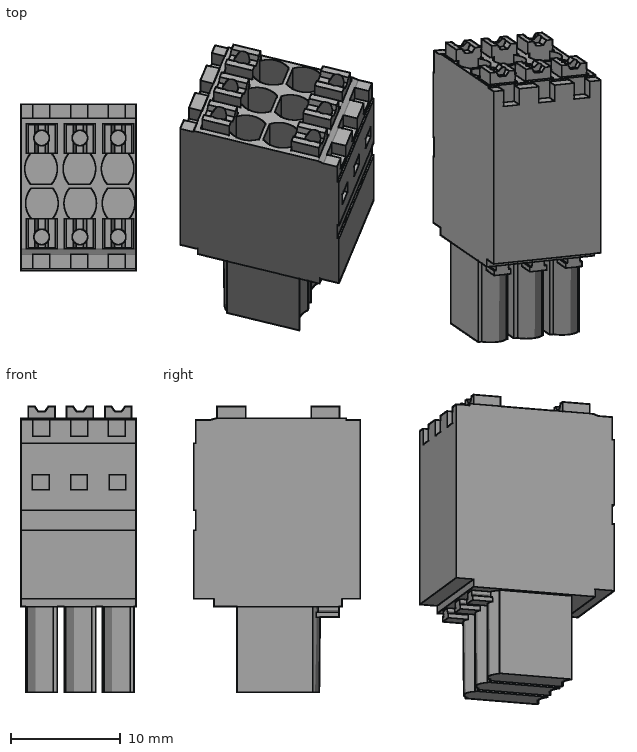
import cadquery as cq


WIDTH = 10.5
DEPTH = 15.2
HEIGHT = 26.05
FRONT_Y = -DEPTH / 2
REAR_Y = DEPTH / 2
POLE_PITCH = 3.5
POLE_STEPS = (-1, 0, 1)
MIDDLE_POLE_X = 0.13

BUTTON_RISE = 1.07
TOP_Z = HEIGHT - BUTTON_RISE
SHOULDER_Z = TOP_Z - 0.15
STEP_Z = 8.52
BOTTOM_Z = 7.82
REAR_SHOULDER = 1.28
FRONT_SHOULDER = 1.5
BEVEL_RUN = 0.52
FRONT_RELIEF = 0.18
UPPER_RELIEF_Z = 22.72
BAND_TOP_Z = 16.6
BAND_BOTTOM_Z = 14.8
REAR_STEP = 1.67
FRONT_STEP = 1.85

NOTCH_WIDTH = 1.54
NOTCH_PITCH = 3.45
NOTCH_FLOOR_Z = 23.31

WINDOW_WIDTH = 1.5
WINDOW_TOP_Z = 19.82
WINDOW_HEIGHT = 1.35
WINDOW_DEPTH = 0.9
FACE_FEATURES_X = 0.05

ROW_MID_Y = 0.13
WELL_FLOOR_Z = 17.2
BUTTON_WIDTH = 2.45
BUTTON_INNER = 2.97
REAR_BUTTON_OUTER = 5.57
REAR_POCKET_OUTER = 5.65
FRONT_BUTTON_OUTER = 5.6
FRONT_POCKET_OUTER = ROW_MID_Y - (FRONT_Y + FRONT_SHOULDER + BEVEL_RUN)
POCKET_SIDE_GAP = 0.18
WIRE_HOLE_INNER = 0.18
WIRE_HOLE_WIDTH = 2.97
WIRE_HOLE_FLAT = 1.93
REAR_WIRE_SHIFT = -0.05
FRONT_WIRE_SHIFT = 0.03
REAR_ROW = 1
FRONT_ROW = -1

GROOVE_DEPTH = 0.45
GROOVE_TOP_WIDTH = 1.25
GROOVE_FLOOR_WIDTH = 0.63
BUTTON_HOLE_DIAMETER = 1.4
BUTTON_HOLE_DEPTH = 2.08
BUTTON_HOLE_Y = 4.5

LEG_WIDTH = 2.9
LEG_FRONT_Y = FRONT_Y + 3.93
LEG_REAR_Y = REAR_Y - 4.32
REAR_BULGE_BOTTOM = 0.6
REAR_BULGE_TOP = 0.68
LEG_ARC_WIDTH = 2.37
LEG_ARC_LEFT_MARGIN = 0.15
SCALLOP_DEPTH = 0.45

TAB_REAR_Y = REAR_Y - 1.93
TAB_NECK_WIDTH = 1.2
TAB_FLARE_WIDTH = 1.3
TAB_HEAD_WIDTH = 1.62
TAB_NECK_DROP = 0.3
TAB_FLARE_DROP = 0.52
TAB_DROP = 0.96


def box(x_centre, width, y_start, y_end, z_bottom, z_top):
    """A block centred on x_centre that spans the given Y and Z limits."""
    block = cq.Workplane("XY").box(width, y_end - y_start, z_top - z_bottom, centered=(True, False, False))
    return block.translate((x_centre, y_start, z_bottom))


def row_y(row, distance):
    """Y of a point at the given distance from the mid line, on the side of the given row."""
    return ROW_MID_Y + row * distance


def make_housing_block():
    relief_y = FRONT_Y + FRONT_RELIEF
    bevel_y = FRONT_Y + FRONT_SHOULDER
    profile = [
        (REAR_Y, STEP_Z),
        (REAR_Y, SHOULDER_Z),
        (REAR_Y - REAR_SHOULDER, SHOULDER_Z),
        (REAR_Y - REAR_SHOULDER, TOP_Z),
        (bevel_y + BEVEL_RUN, TOP_Z),
        (bevel_y, SHOULDER_Z),
        (relief_y, SHOULDER_Z),
        (relief_y, UPPER_RELIEF_Z),
        (FRONT_Y, UPPER_RELIEF_Z),
        (FRONT_Y, BAND_TOP_Z),
        (relief_y, BAND_TOP_Z),
        (relief_y, BAND_BOTTOM_Z),
        (FRONT_Y, BAND_BOTTOM_Z),
        (FRONT_Y, STEP_Z),
        (FRONT_Y + FRONT_STEP, STEP_Z),
        (FRONT_Y + FRONT_STEP, BOTTOM_Z),
        (REAR_Y - REAR_STEP, BOTTOM_Z),
        (REAR_Y - REAR_STEP, STEP_Z),
    ]
    return cq.Workplane("YZ").polyline(profile).close().extrude(WIDTH / 2, both=True)


def make_shoulder_notches(step):
    x = FACE_FEATURES_X + step * NOTCH_PITCH
    front = box(x, NOTCH_WIDTH, FRONT_Y, FRONT_Y + FRONT_SHOULDER, NOTCH_FLOOR_Z, TOP_Z)
    rear = box(x, NOTCH_WIDTH, REAR_Y - REAR_SHOULDER, REAR_Y, NOTCH_FLOOR_Z, TOP_Z)
    return front.union(rear)


def make_window(step):
    x = FACE_FEATURES_X + step * POLE_PITCH
    window_bottom_z = WINDOW_TOP_Z - WINDOW_HEIGHT
    return box(x, WINDOW_WIDTH, FRONT_Y, FRONT_Y + WINDOW_DEPTH, window_bottom_z, WINDOW_TOP_Z)


def make_pocket(x, row, outer):
    width = BUTTON_WIDTH + 2 * POCKET_SIDE_GAP
    y_start, y_end = sorted((row_y(row, BUTTON_INNER), row_y(row, outer)))
    return box(x, width, y_start, y_end, WELL_FLOOR_Z, TOP_Z)


def make_wire_hole(x, row):
    """A hole with two flat ends and two bowed sides, next to the inner face of a button."""
    inner_y = row_y(row, WIRE_HOLE_INNER)
    outer_y = row_y(row, BUTTON_INNER)
    middle_y = (inner_y + outer_y) / 2
    half_flat = WIRE_HOLE_FLAT / 2
    half_width = WIRE_HOLE_WIDTH / 2
    return (
        cq.Workplane("XY", origin=(x, 0, WELL_FLOOR_Z))
        .moveTo(-half_flat, inner_y)
        .lineTo(half_flat, inner_y)
        .threePointArc((half_width, middle_y), (half_flat, outer_y))
        .lineTo(-half_flat, outer_y)
        .threePointArc((-half_width, middle_y), (-half_flat, inner_y))
        .close()
        .extrude(TOP_Z - WELL_FLOOR_Z)
    )


def leg_outline(sketch, rear_bulge):
    """Leg cross-section: flat sides, a concave front scallop and a matching convex rear."""
    left = -LEG_WIDTH / 2
    right = LEG_WIDTH / 2
    arc_left = left + LEG_ARC_LEFT_MARGIN
    arc_right = arc_left + LEG_ARC_WIDTH
    arc_middle = (arc_left + arc_right) / 2
    return (
        sketch.moveTo(left, LEG_FRONT_Y)
        .lineTo(arc_left, LEG_FRONT_Y)
        .threePointArc((arc_middle, LEG_FRONT_Y + SCALLOP_DEPTH), (arc_right, LEG_FRONT_Y))
        .lineTo(right, LEG_FRONT_Y)
        .lineTo(right, LEG_REAR_Y)
        .lineTo(arc_right, LEG_REAR_Y)
        .threePointArc((arc_middle, LEG_REAR_Y + rear_bulge), (arc_left, LEG_REAR_Y))
        .lineTo(left, LEG_REAR_Y)
        .close()
    )


def make_leg(x):
    """A leg whose rear bulge tapers slightly towards its lower end."""
    lower = leg_outline(cq.Workplane("XY", origin=(x, 0, 0)), REAR_BULGE_BOTTOM)
    both = leg_outline(lower.workplane(offset=BOTTOM_Z), REAR_BULGE_TOP)
    return both.loft(ruled=True)


def make_tab(x):
    """A tab under the housing: a neck that flares slightly, then steps out to a wider head."""
    half_neck = TAB_NECK_WIDTH / 2
    half_flare = TAB_FLARE_WIDTH / 2
    half_head = TAB_HEAD_WIDTH / 2
    right_side = [
        (half_neck, 0),
        (half_neck, -TAB_NECK_DROP),
        (half_flare, -TAB_FLARE_DROP),
        (half_head, -TAB_FLARE_DROP),
        (half_head, -TAB_DROP),
    ]
    left_side = [(-offset, height) for offset, height in reversed(right_side)]
    outline = cq.Workplane("XZ", origin=(x, TAB_REAR_Y, BOTTOM_Z)).polyline(right_side + left_side)
    return outline.close().extrude(TAB_REAR_Y - LEG_REAR_Y)


def make_housing():
    housing = make_housing_block()
    for step in POLE_STEPS:
        pole_x = MIDDLE_POLE_X + step * POLE_PITCH
        housing = housing.cut(make_shoulder_notches(step)).cut(make_window(step))
        housing = housing.cut(make_pocket(pole_x, REAR_ROW, REAR_POCKET_OUTER))
        housing = housing.cut(make_wire_hole(pole_x + REAR_WIRE_SHIFT, REAR_ROW))
        housing = housing.cut(make_pocket(pole_x, FRONT_ROW, FRONT_POCKET_OUTER))
        housing = housing.cut(make_wire_hole(pole_x + FRONT_WIRE_SHIFT, FRONT_ROW))
        housing = housing.union(make_leg(pole_x)).union(make_tab(pole_x))
    return housing


def make_button(x, row, outer):
    """A release button with a trapezoidal groove across its head and a blind round hole."""
    y_start, y_end = sorted((row_y(row, BUTTON_INNER), row_y(row, outer)))
    groove = (
        cq.Workplane("XZ", origin=(x, y_end, HEIGHT))
        .moveTo(-GROOVE_TOP_WIDTH / 2, 0)
        .lineTo(-GROOVE_FLOOR_WIDTH / 2, -GROOVE_DEPTH)
        .lineTo(GROOVE_FLOOR_WIDTH / 2, -GROOVE_DEPTH)
        .lineTo(GROOVE_TOP_WIDTH / 2, 0)
        .close()
        .extrude(y_end - y_start)
    )
    hole = (
        cq.Workplane("XY", origin=(x, row * BUTTON_HOLE_Y, HEIGHT))
        .circle(BUTTON_HOLE_DIAMETER / 2)
        .extrude(-BUTTON_HOLE_DEPTH)
    )
    return box(x, BUTTON_WIDTH, y_start, y_end, WELL_FLOOR_Z, HEIGHT).cut(groove).cut(hole)


housing = make_housing()
buttons = [
    make_button(MIDDLE_POLE_X + step * POLE_PITCH, row, outer)
    for row, outer in ((REAR_ROW, REAR_BUTTON_OUTER), (FRONT_ROW, FRONT_BUTTON_OUTER))
    for step in POLE_STEPS
]
result = cq.Compound.makeCompound([housing.val(), *[button.val() for button in buttons]])